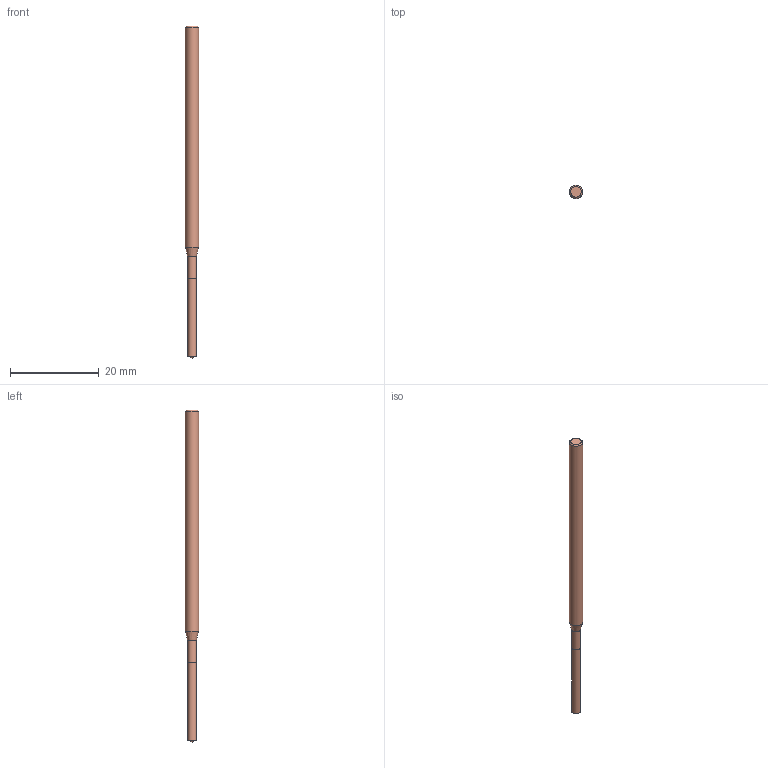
import cadquery as cq
import math

total_length = 75.0
shank_diameter = 3.0
shank_length = 50.0
shank_chamfer = 0.3
taper_length = 2.0
neck_diameter = 2.0
neck_length = 5.0
point_angle = 140.0

shank_radius = shank_diameter / 2
neck_radius = neck_diameter / 2
point_height = neck_radius / math.tan(math.radians(point_angle / 2))
shank_bottom = total_length - shank_length
neck_top = shank_bottom - taper_length
neck_bottom = neck_top - neck_length


def revolve_about_z(half_profile):
    """Turn a closed (radius, height) outline around the Z axis."""
    outline = cq.Workplane("XZ").polyline(half_profile).close()
    return outline.revolve(360, (0, 0, 0), (0, 1, 0))


def make_holder():
    """Chamfered shank, taper and neck."""
    return revolve_about_z([
        (0, neck_bottom),
        (neck_radius, neck_bottom),
        (neck_radius, neck_top),
        (shank_radius, shank_bottom),
        (shank_radius, total_length - shank_chamfer),
        (shank_radius - shank_chamfer, total_length),
        (0, total_length),
    ])


def make_cutter():
    """Cutting length with a conical point, butted against the neck."""
    return revolve_about_z([
        (0, 0),
        (neck_radius, point_height),
        (neck_radius, neck_bottom),
        (0, neck_bottom),
    ])


holder = make_holder()
cutter = make_cutter()

result = cq.Compound.makeCompound([holder.val(), cutter.val()])